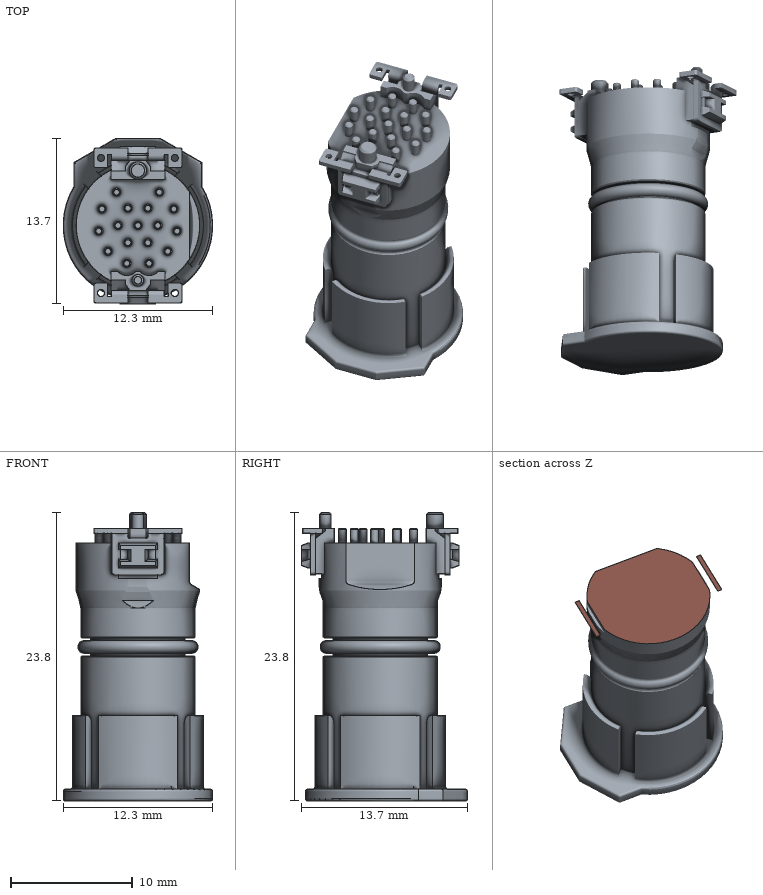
import cadquery as cq
import math

flange_radius = 6.15
flange_height = 0.97
flange_round = 0.2
tab_reach = 7.17
tab_tip_half_width = 1.8
tab_half_width = 5.27
tab_slope_angle = 30.0

barrel_radius = 4.7
head_radius = 5.08
cone_bottom = 15.9
cone_top = 17.3
head_top = 21.25

sleeve_radius = 5.4
sleeve_top = 7.03
sleeve_round_width = 0.38
sleeve_round_depth = 0.71
sleeve_round_radius = 0.75
sleeve_foot = 0.21
slot_width = 1.47

ring_radius = 4.95
ring_thickness = 1.05
ring_height = 12.68
groove_height = 1.47
groove_chamfer = 0.1

flat_x = 4.23
flat_bottom = 17.9
flat_slope_angle = 30.0
flat_round = 0.38

pin_radius = 0.33
pin_height = 1.19
pin_chamfer = 0.1
outer_pin_circle = 3.25
outer_pin_places = 11
inner_pin_circle = 1.65
inner_pin_count = 6

block_half_width = 2.2
block_inner = 3.78
block_outer = 5.35
block_bottom = 18.7
block_top = head_top + pin_height
block_step = 4.5
block_step_drop = 0.17
block_shoulder_end = 21.61
nose_half_width = 1.02
nose_tip_half_width = 0.66
nose_taper_start = 4.87
pin_clearance = 1.0

post_place = 4.51
post_top = 23.75
post_chamfer = 0.17
front_post_radius = 0.48
back_post_radius = 0.71

sheet = 0.4
plate_half_width = 2.14
plate_bottom = 18.62
plate_corner = 0.24
notch_half_width = 0.83
notch_bottom = 21.64
notch_corner = 0.17
wing_half_span = 3.63
wing_inner = 4.75
wing_outer = 6.4
wing_corner = 0.2
wing_hole_radius = 0.28
wing_hole_x = 3.05
wing_hole_depth = 5.55
relief_inner_x = 2.18
relief_outer_x = 2.5
relief_end = 5.85

catch_base_width = 3.18
catch_base_height = 2.07
catch_width = 2.9
catch_height = 1.65
catch_middle = 20.2
catch_pad = 0.2
catch_outer = 6.48
catch_web_half_width = 0.57
catch_window_height = 0.97
window_ramp = 0.2
window_floor_start = 0.88
window_floor_end = 1.45
window_floor_radius = 0.71

key_pad_depth = 0.057
key_flat = [
    (barrel_radius, cone_bottom),
    (barrel_radius, 16.5),
    (4.96, 17.2),
    (head_radius - key_pad_depth, 17.6),
    (head_radius - key_pad_depth, 18.3),
    (4.82, 18.3),
    (4.82, block_bottom),
]


def cylinder(radius, bottom, top):
    return cq.Workplane("XY", origin=(0, 0, bottom)).circle(radius).extrude(top - bottom)


def box(x_range, y_range, z_range):
    """Box between two values along each axis."""
    size = [high - low for low, high in (x_range, y_range, z_range)]
    corner = (x_range[0], y_range[0], z_range[0])
    return cq.Workplane("XY").box(*size, centered=False).translate(corner)


def side_prism(points, half_width):
    """Outline of (depth, height) corners extruded evenly along X; depth runs along +Y."""
    return cq.Workplane("YZ").polyline(points).close().extrude(half_width, both=True)


def make_flange():
    slope_drop = (tab_half_width - tab_tip_half_width) * math.tan(math.radians(tab_slope_angle))
    tab = (
        cq.Workplane("XY")
        .polyline([
            (-tab_half_width, 0),
            (tab_half_width, 0),
            (tab_half_width, tab_reach - slope_drop),
            (tab_tip_half_width, tab_reach),
            (-tab_tip_half_width, tab_reach),
            (-tab_half_width, tab_reach - slope_drop),
        ])
        .close()
        .extrude(flange_height)
    )
    flange = cylinder(flange_radius, 0, flange_height).union(tab)
    return flange.faces("|Z").edges().fillet(flange_round)


def make_sleeve():
    foot_offset = sleeve_foot * (1 - math.sqrt(0.5))
    foot_middle = (sleeve_radius + foot_offset, flange_height + foot_offset)
    round_bottom = sleeve_top - sleeve_round_depth
    ring = (
        cq.Workplane("XZ")
        .moveTo(0, flange_height)
        .lineTo(sleeve_radius + sleeve_foot, flange_height)
        .threePointArc(foot_middle, (sleeve_radius, flange_height + sleeve_foot))
        .lineTo(sleeve_radius, sleeve_top)
        .lineTo(barrel_radius + sleeve_round_width, sleeve_top)
        .radiusArc((barrel_radius, round_bottom), -sleeve_round_radius)
        .lineTo(0, round_bottom)
        .close()
        .revolve(360, (0, 0, 0), (0, 1, 0))
    )
    for angle in (45, 135):
        slot = cq.Workplane("XY", origin=(0, 0, flange_height)).rect(2 * flange_radius, slot_width)
        ring = ring.cut(slot.extrude(sleeve_top).rotate((0, 0, 0), (0, 0, 1), angle))
    return ring


def make_barrel():
    """Barrel and head as one turned shape, with the O-ring groove."""
    groove_floor = ring_radius - ring_thickness
    groove_bottom = ring_height - groove_height / 2
    groove_top = ring_height + groove_height / 2
    return (
        cq.Workplane("XZ")
        .polyline([
            (0, 0),
            (barrel_radius, 0),
            (barrel_radius, groove_bottom - groove_chamfer),
            (barrel_radius - groove_chamfer, groove_bottom),
            (groove_floor, groove_bottom),
            (groove_floor, groove_top),
            (barrel_radius - groove_chamfer, groove_top),
            (barrel_radius, groove_top + groove_chamfer),
            (barrel_radius, cone_bottom),
            (head_radius, cone_top),
            (head_radius, head_top),
            (0, head_top),
        ])
        .close()
        .revolve(360, (0, 0, 0), (0, 1, 0))
    )


def make_head_flat():
    """Material removed on the +X side of the head."""
    run = flange_radius - flat_x
    drop = run * math.tan(math.radians(flat_slope_angle))
    return (
        cq.Workplane("XZ")
        .polyline([
            (flat_x, flat_bottom),
            (flat_x + run, flat_bottom - drop),
            (flat_x + run, head_top),
            (flat_x, head_top),
        ])
        .close()
        .extrude(head_radius, both=True)
        .edges(cq.selectors.NearestToPointSelector((flat_x, 0, flat_bottom)))
        .fillet(flat_round)
    )


def make_key_flat():
    """Material removed from the +Y side of the head below the clip."""
    beyond = [(flange_radius, block_bottom), (flange_radius, cone_bottom)]
    return side_prism(key_flat + beyond, block_half_width)


def polar(radius, angle):
    """Point at an angle in degrees measured from +Y."""
    return radius * math.sin(math.radians(angle)), radius * math.cos(math.radians(angle))


def pin_places():
    outer_step = 360 / outer_pin_places
    outer = [polar(outer_pin_circle, outer_step * i) for i in range(1, outer_pin_places)]
    inner_step = 360 / inner_pin_count
    inner = [polar(inner_pin_circle, inner_step * (i + 0.5)) for i in range(inner_pin_count)]
    return outer + inner + [(0, 0)]


def make_pins():
    pin = cylinder(pin_radius, head_top, head_top + pin_height).faces(">Z").chamfer(pin_chamfer)
    return [pin.translate((x, y, 0)) for x, y in pin_places()]


def make_block():
    """Clip block on the +Y side, with a tapered nose between two sloped shoulders."""
    shoulders = side_prism(
        [
            (block_inner, head_top),
            (block_inner, block_top),
            (block_step, block_top),
            (block_step, block_top - block_step_drop),
            (block_outer, block_shoulder_end),
            (block_outer, block_bottom),
            (post_place, block_bottom),
            (post_place, head_top),
        ],
        block_half_width,
    )
    nose = (
        cq.Workplane("XY", origin=(0, 0, block_bottom))
        .polyline([
            (-nose_half_width, block_step),
            (-nose_half_width, nose_taper_start),
            (-nose_tip_half_width, block_outer),
            (nose_tip_half_width, block_outer),
            (nose_half_width, nose_taper_start),
            (nose_half_width, block_step),
        ])
        .close()
        .extrude(block_top - block_bottom)
    )
    return shoulders.union(nose)


def make_post(radius):
    post = cylinder(radius, head_top, post_top).faces(">Z").chamfer(post_chamfer)
    return post.translate((0, post_place, 0))


def make_clip():
    """Upright plate bent outward at its top into a strip with a drilled wing at each end."""
    plate_outer = block_outer + sheet
    wing_bottom = block_top - sheet
    plate = box(
        (-plate_half_width, plate_half_width), (block_outer, plate_outer), (plate_bottom, wing_bottom)
    )
    plate = plate.edges("|Y and <Z").fillet(plate_corner)
    bend = (
        cq.Workplane("YZ")
        .moveTo(block_outer, wing_bottom)
        .radiusArc((plate_outer, block_top), sheet)
        .lineTo(plate_outer, wing_bottom)
        .close()
        .extrude(relief_inner_x, both=True)
    )
    strip = box((-wing_half_span, wing_half_span), (plate_outer, wing_outer), (wing_bottom, block_top))
    clip = plate.union(bend).union(strip)
    for side in (-1, 1):
        wing_x = sorted((side * relief_outer_x, side * wing_half_span))
        wing = box(wing_x, (wing_inner, wing_outer), (wing_bottom, block_top))
        relief_x = sorted((side * relief_inner_x, side * relief_outer_x))
        relief = box(relief_x, (wing_inner, relief_end), (wing_bottom, block_top))
        hole = cylinder(wing_hole_radius, wing_bottom, block_top)
        clip = clip.union(wing).cut(relief)
        clip = clip.cut(hole.translate((side * wing_hole_x, wing_hole_depth, 0)))
    clip = clip.edges("|Z and (<X or >X)").fillet(wing_corner)
    notch = box(
        (-notch_half_width, notch_half_width), (block_outer, wing_outer), (notch_bottom, block_top)
    )
    return clip.cut(notch.edges("|Y and <Z").fillet(notch_corner))


def make_catch():
    """Tapered catch with a window in each end that leaves a narrow web."""
    pad_inner = block_outer + sheet
    pad_outer = pad_inner + catch_pad
    pad = (
        cq.Workplane("XZ", origin=(0, pad_inner, catch_middle))
        .rect(catch_base_width, catch_base_height)
        .extrude(-catch_pad)
    )
    taper = (
        cq.Workplane("XZ", origin=(0, pad_outer, catch_middle))
        .rect(catch_base_width, catch_base_height)
        .workplane(offset=pad_outer - catch_outer)
        .rect(catch_width, catch_height)
        .loft(ruled=True)
    )
    catch = pad.union(taper)
    window_bottom = catch_middle - catch_window_height / 2
    window = (
        cq.Workplane("XY", origin=(0, 0, window_bottom))
        .moveTo(catch_web_half_width, catch_outer)
        .lineTo(window_floor_start, pad_inner)
        .radiusArc((window_floor_end, pad_outer), window_floor_radius)
        .lineTo(window_floor_end, pad_inner)
        .lineTo(catch_base_width / 2, pad_inner)
        .lineTo(catch_base_width / 2, catch_outer)
        .close()
        .extrude(catch_window_height)
    )
    ramp = side_prism(
        [
            (pad_inner, window_bottom),
            (catch_outer, window_bottom),
            (pad_inner, window_bottom + window_ramp),
        ],
        catch_base_width / 2,
    )
    window = window.cut(ramp)
    return catch.cut(window).cut(window.mirror("YZ"))


def scallop_block(block):
    """Clear the block, placed at -Y, from the two pins nearest to it."""
    pin_angle = 180 / outer_pin_places
    for angle in (180 - pin_angle, 180 + pin_angle):
        x, y = polar(outer_pin_circle, angle)
        block = block.cut(cylinder(pin_clearance, head_top, block_top).translate((x, y, 0)))
    return block


def make_housing():
    key = make_key_flat()
    block = make_block()
    clip = make_clip().union(make_catch())
    body = make_barrel().cut(make_head_flat()).cut(key).cut(key.mirror("XZ"))
    body = body.union(make_flange()).union(make_sleeve())
    body = body.union(block).union(clip).union(make_post(back_post_radius))
    body = body.union(scallop_block(block.mirror("XZ"))).union(clip.mirror("XZ"))
    body = body.union(make_post(front_post_radius).mirror("XZ"))
    for pin in make_pins():
        body = body.union(pin)
    return body


def make_o_ring():
    tube_radius = ring_thickness / 2
    return cq.Workplane(
        cq.Solid.makeTorus(ring_radius - tube_radius, tube_radius, cq.Vector(0, 0, ring_height))
    )


housing = make_housing()
o_ring = make_o_ring()

result = cq.Compound.makeCompound([housing.val(), o_ring.val()])